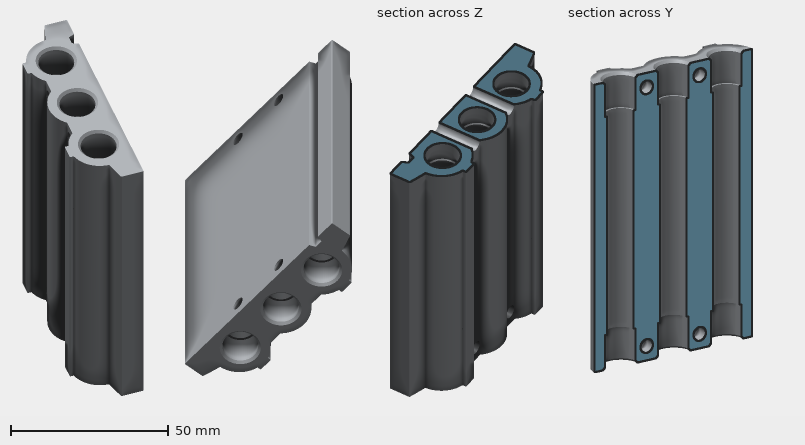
import cadquery as cq
import math

length = 98.0
width = 72.9
depth = 20.0

pitch = 20.1
bore_to_back = 9.4
bore_diameter = 10.0
end_bore_diameter = 11.5
end_bore_depth = 11.8
mouth_diameter = 13.1

lobe_radius = 10.0
lobe_shift = 0.4

valley_to_back = 15.6
wing_thickness = 7.5
wing_arc_radius = 117.6
wing_overlap = 1.0

rib_width = 5.0
rib_root_radius = 0.2
edge_radius = 0.3

groove_offset = 27.3
groove_mouth = 4.4
groove_floor = 2.8
groove_depth = 2.1

cross_hole_diameter = 4.5
cross_hole_inset = 5.0

half_width = width / 2
back = bore_to_back
front = back - depth
valley = back - valley_to_back
wing_tip = back - wing_thickness
wing_inner_end = pitch + lobe_radius - wing_overlap
lobe_places = (-pitch, 0, pitch)
rib_places = (-pitch, pitch)
rib_root = lobe_shift - math.sqrt(lobe_radius**2 - (rib_width / 2) ** 2)


def wing_height(x):
    """Y of the wing underside, a shallow arc centred on the plane x = 0."""
    tip_height = math.sqrt(wing_arc_radius**2 - half_width**2)
    return wing_tip + tip_height - math.sqrt(wing_arc_radius**2 - x**2)


def make_plate():
    """Flat-backed plate whose wings run slightly into the outer lobes."""
    wing_middle = (wing_inner_end + half_width) / 2
    wing_middle_height = wing_height(wing_middle)
    wing_inner_height = wing_height(wing_inner_end)
    return (
        cq.Workplane("XY")
        .moveTo(-half_width, back)
        .lineTo(half_width, back)
        .lineTo(half_width, wing_tip)
        .threePointArc((wing_middle, wing_middle_height), (wing_inner_end, wing_inner_height))
        .lineTo(pitch, valley)
        .lineTo(-pitch, valley)
        .lineTo(-wing_inner_end, wing_inner_height)
        .threePointArc((-wing_middle, wing_middle_height), (-half_width, wing_tip))
        .close()
        .extrude(length)
    )


def make_lobe(x):
    """Half-round bar on the front side of a bore."""
    return (
        cq.Workplane("XY")
        .moveTo(x - lobe_radius, lobe_shift)
        .threePointArc((x, lobe_shift - lobe_radius), (x + lobe_radius, lobe_shift))
        .close()
        .extrude(length)
    )


def make_rib(x):
    """Flat rib from the bore plane out to the front face; the bore is cut later."""
    return cq.Workplane("XY").center(x, front / 2).rect(rib_width, -front).extrude(length)


def round_rib_roots(body):
    """Fillet the inside corners where each rib side meets its lobe."""
    reach = 0.1
    for rib_x in rib_places:
        for x in (rib_x - rib_width / 2, rib_x + rib_width / 2):
            corner_box = cq.selectors.BoxSelector(
                (x - reach, rib_root - reach, 0),
                (x + reach, rib_root + reach, length),
            )
            body = body.edges("|Z").edges(corner_box).fillet(rib_root_radius)
    return body


def make_bore(x):
    """Through bore, widened at both ends with a 45 degree chamfer at each mouth."""
    chamfer = (mouth_diameter - end_bore_diameter) / 2
    through = cq.Workplane("XY").circle(bore_diameter / 2).extrude(length)
    near_end = (
        cq.Workplane("XZ")
        .lineTo(mouth_diameter / 2, 0)
        .lineTo(end_bore_diameter / 2, chamfer)
        .lineTo(end_bore_diameter / 2, end_bore_depth)
        .lineTo(0, end_bore_depth)
        .close()
        .revolve(360, (0, 0), (0, 1))
    )
    far_end = near_end.mirror("XY").translate((0, 0, length))
    return through.union(near_end).union(far_end).translate((x, 0, 0))


def make_groove():
    """Full-length groove, narrower at its floor than at its mouth."""
    return (
        cq.Workplane("XY", origin=(-groove_offset, back, 0))
        .moveTo(-groove_mouth / 2, 0)
        .lineTo(groove_mouth / 2, 0)
        .lineTo(groove_floor / 2, -groove_depth)
        .lineTo(-groove_floor / 2, -groove_depth)
        .close()
        .extrude(length)
    )


def make_cross_holes():
    """One hole near each end of both valleys, from back to front."""
    places = [
        (x, z)
        for x in (-pitch / 2, pitch / 2)
        for z in (cross_hole_inset, length - cross_hole_inset)
    ]
    return (
        cq.Workplane("XZ", origin=(0, back, 0))
        .pushPoints(places)
        .circle(cross_hole_diameter / 2)
        .extrude(depth)
    )


body = make_plate()
for place in lobe_places:
    body = body.union(make_lobe(place))
for place in rib_places:
    body = body.union(make_rib(place))
body = round_rib_roots(body)

body = body.faces("<X or >X or <Y").edges("|Z").fillet(edge_radius)

for place in lobe_places:
    body = body.cut(make_bore(place))
result = body.cut(make_groove()).cut(make_cross_holes())